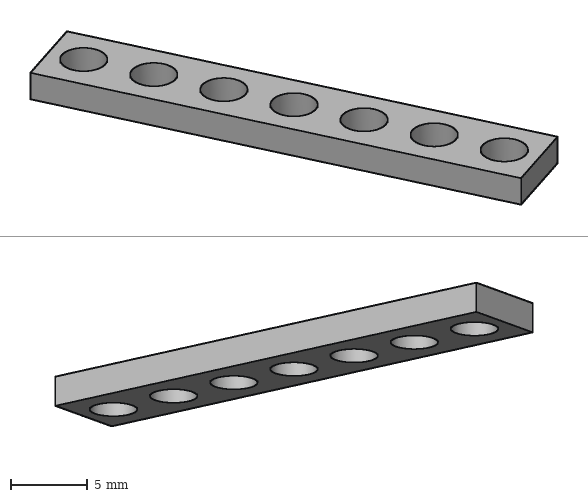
import cadquery as cq

hole_count = 7
hole_pitch = 5.0
hole_diameter = 3.1
bar_width = 6.0
bar_thickness = 2.0

bar_length = hole_count * hole_pitch


def make_bar():
    """Flat rectangular bar, centred on the origin in X and Y, resting on Z = 0."""
    return cq.Workplane("XY").box(bar_length, bar_width, bar_thickness, centered=(True, True, False))


def drill_hole_row(bar):
    """Cut one row of evenly spaced through holes along the bar's centreline."""
    return bar.faces(">Z").workplane().rarray(hole_pitch, bar_width, hole_count, 1).hole(hole_diameter)


result = drill_hole_row(make_bar())